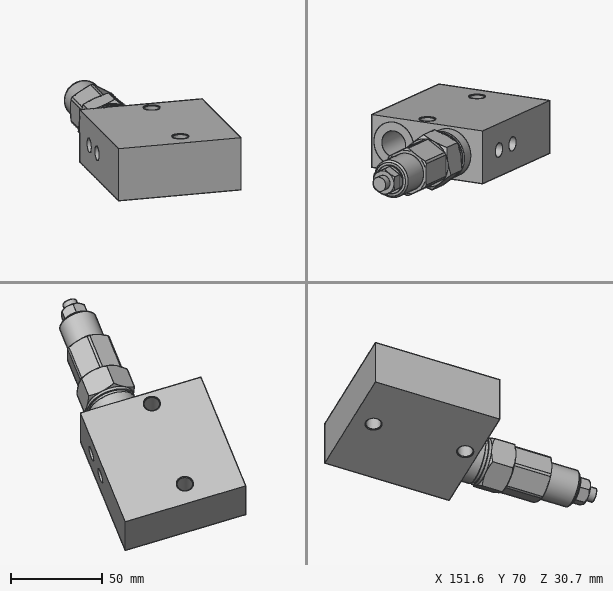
import cadquery as cq
import math


overall_length = 151.6
block_length = 74.3
block_width = 70.0
block_height = 30.0
block_start = overall_length - block_length
block_front = -20.9
block_back = block_front + block_width

nut_start = 4.7
neck_start = 11.2
sleeve_start = 12.3
body_start = 30.3
large_hex_start = 52.3
shoulder_start = 66.7
groove_start = 68.4
collar_start = 70.3

stem_diameter = 8.0
nut_flats = 13.0
neck_diameter = 16.0
sleeve_diameter = 21.0
sleeve_chamfer = 1.0
body_flats = 24.1
body_diameter = 27.0
body_chamfer_length = 0.5
body_chamfer_depth = 1.4
large_hex_flats = 27.0
large_hex_vertex_angle = 80.0
collar_diameter = 27.0
groove_diameter = 25.0

nut_chamfer_angle = 45.0
large_hex_chamfer_angle = 30.0

port_diameter = 15.0
port_depth = 30.3
port_y = block_back - 14.0
spotface_diameter = 25.0
spotface_depth = 0.2
mount_diameter = 8.5
mount_chamfer = 0.5
mount_y = block_back - 31.1
mount_x = block_start + 7.3
mount_pitch = 54.7
side_diameter = 8.0
side_depth = 18.2
side_x = block_start + 18.0
side_pitch = 15.0


def disc(start, end, diameter):
    """Cylinder along the cartridge axis."""
    return cq.Workplane("YZ", origin=(start, 0, 0)).circle(diameter / 2).extrude(end - start)


def hexagon(start, end, flats, vertex_angle=90.0):
    """Hexagonal prism along the cartridge axis with one vertex at the given angle."""
    prism = (
        cq.Workplane("YZ", origin=(start, 0, 0))
        .polygon(6, flats / math.cos(math.radians(30)))
        .extrude(end - start)
    )
    return prism.rotate((0, 0, 0), (1, 0, 0), vertex_angle)


def chamfered_hexagon(start, end, flats, chamfer_angle, vertex_angle=90.0, chamfer_back=True):
    """Hexagonal prism with conically trimmed corners at one or both ends."""
    corner_radius = flats / 2 / math.cos(math.radians(30))
    rise = corner_radius - flats / 2
    drop = rise * math.tan(math.radians(chamfer_angle))
    envelope = disc(start, end, 2 * corner_radius)
    faces = "<X or >X" if chamfer_back else "<X"
    envelope = envelope.faces(faces).chamfer(drop, rise)
    return hexagon(start, end, flats, vertex_angle).intersect(envelope)


def make_cartridge():
    body_envelope = disc(body_start, large_hex_start, body_diameter)
    body_envelope = body_envelope.faces("<X").chamfer(body_chamfer_length, body_chamfer_depth)
    body = hexagon(body_start, large_hex_start, body_flats).intersect(body_envelope)
    sections = [
        chamfered_hexagon(nut_start, neck_start, nut_flats, nut_chamfer_angle, chamfer_back=False),
        disc(neck_start, sleeve_start, neck_diameter),
        disc(sleeve_start, body_start, sleeve_diameter).faces("<X").chamfer(sleeve_chamfer),
        body,
        chamfered_hexagon(
            large_hex_start, shoulder_start, large_hex_flats, large_hex_chamfer_angle, large_hex_vertex_angle
        ),
        disc(shoulder_start, groove_start, collar_diameter),
        disc(groove_start, collar_start, groove_diameter),
        disc(collar_start, block_start, collar_diameter),
    ]
    cartridge = disc(0, nut_start, stem_diameter)
    for section in sections:
        cartridge = cartridge.union(section)
    return cartridge


def make_block():
    block = cq.Workplane("XY").box(block_length, block_width, block_height, centered=(False, False, True))
    block = block.translate((block_start, block_front, 0))

    port = disc(block_start, block_start + port_depth, port_diameter)
    spotface = disc(block_start, block_start + spotface_depth, spotface_diameter)
    block = block.cut(port.union(spotface).translate((0, port_y, 0)))

    for x in (mount_x, mount_x + mount_pitch):
        hole = (
            cq.Workplane("XZ")
            .moveTo(0, -block_height / 2)
            .lineTo(mount_diameter / 2 + mount_chamfer, -block_height / 2)
            .lineTo(mount_diameter / 2, -block_height / 2 + mount_chamfer)
            .lineTo(mount_diameter / 2, block_height / 2 - mount_chamfer)
            .lineTo(mount_diameter / 2 + mount_chamfer, block_height / 2)
            .lineTo(0, block_height / 2)
            .close()
            .revolve(360, (0, 0, 0), (0, 1, 0))
        )
        block = block.cut(hole.translate((x, mount_y, 0)))

    for x in (side_x, side_x + side_pitch):
        hole = cq.Workplane("XZ", origin=(x, block_front, 0)).circle(side_diameter / 2).extrude(-side_depth)
        block = block.cut(hole)
    return block


result = make_block().union(make_cartridge())